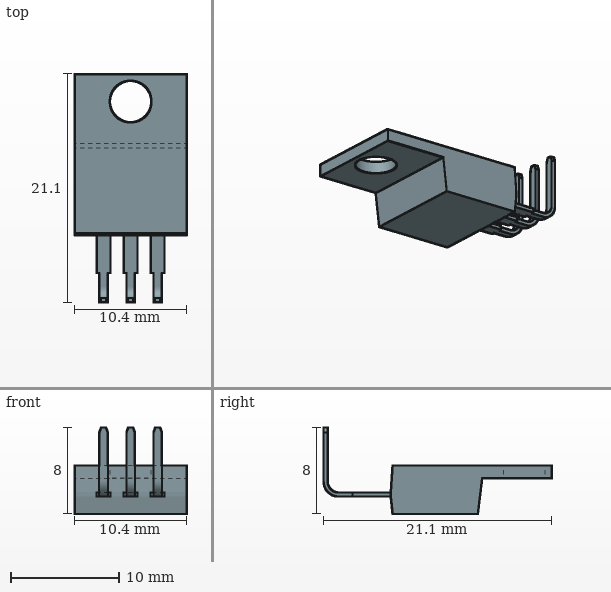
import cadquery as cq

width = 10.4
tab_thickness = 1.2
tab_back = 14.9
tab_insert_width = 7.5
tab_insert_front = 1.5
hole_diameter = 3.8
hole_from_back = 2.54

edge_break = 0.04

body_height = 4.5
body_back = 8.48
body_back_slope = 0.4
body_front_draft = 0.17

lead_pitch = 2.5
lead_thickness = 0.4
lead_top_depth = 2.5
lead_width = 0.8
lead_root_width = 1.3
lead_root_length = 3.5
lead_reach = 6.2
lead_tip_z = 3.5
bend_outer_radius = 1.4
bend_inner_radius = bend_outer_radius - lead_thickness
tip_height = 0.45
tip_side_cut = 0.17
lead_embedment = 1.0
lead_bottom_depth = lead_top_depth + lead_thickness


def make_tab():
    """Flat tab: full width behind the body, narrower where the body holds it."""
    exposed = (
        cq.Workplane("XY")
        .box(width, tab_back - body_back, tab_thickness, centered=(True, False, False))
        .translate((0, body_back, -tab_thickness))
        .edges("|Y")
        .chamfer(edge_break)
    )
    insert_length = body_back - tab_insert_front
    insert = (
        cq.Workplane("XY")
        .box(tab_insert_width, insert_length, tab_thickness, centered=(True, False, False))
        .translate((0, tab_insert_front, -tab_thickness))
    )
    hole_radius = hole_diameter / 2
    rim_radius = hole_radius + edge_break
    hole = (
        cq.Workplane("XZ")
        .polyline([
            (0, 0),
            (rim_radius, 0),
            (hole_radius, -edge_break),
            (hole_radius, edge_break - tab_thickness),
            (rim_radius, -tab_thickness),
            (0, -tab_thickness),
        ])
        .close()
        .revolve(360, (0, 0, 0), (0, 1, 0))
        .translate((0, tab_back - hole_from_back, 0))
    )
    return exposed.union(insert).cut(hole)


def make_body():
    """Moulded body: drafted front with a flat band at lead level, sloped lower back."""
    body = (
        cq.Workplane("YZ")
        .moveTo(body_front_draft, 0)
        .lineTo(0, -lead_top_depth)
        .lineTo(0, -lead_bottom_depth)
        .lineTo(body_front_draft, -body_height)
        .lineTo(body_back - body_back_slope, -body_height)
        .lineTo(body_back, -tab_thickness)
        .lineTo(body_back, 0)
        .close()
        .extrude(width / 2, both=True)
    )
    front_zone = cq.selectors.BoxSelector(
        (-width, -body_front_draft, -body_height), (width, body_front_draft, 0)
    )
    front_side_edges = body.edges(front_zone).edges("not |X")
    top_side_edges = body.faces(">Z").edges("|Y")
    top_front_edge = body.faces(">Z").edges("<Y")
    return front_side_edges.add(top_side_edges).add(top_front_edge).chamfer(edge_break)


def make_lead():
    """Lead on X = 0: wide root, upward bend and a tip tapered on both sides."""
    strip = (
        cq.Workplane("YZ")
        .moveTo(lead_embedment, -lead_bottom_depth)
        .lineTo(bend_outer_radius - lead_reach, -lead_bottom_depth)
        .radiusArc((-lead_reach, bend_outer_radius - lead_bottom_depth), bend_outer_radius)
        .lineTo(-lead_reach, lead_tip_z)
        .lineTo(lead_thickness - lead_reach, lead_tip_z)
        .lineTo(lead_thickness - lead_reach, bend_outer_radius - lead_bottom_depth)
        .radiusArc((bend_outer_radius - lead_reach, -lead_top_depth), -bend_inner_radius)
        .lineTo(lead_embedment, -lead_top_depth)
        .close()
        .extrude(lead_width / 2, both=True)
    )
    half_width = lead_width / 2
    tip_cut = (
        cq.Workplane("XZ")
        .moveTo(half_width, lead_tip_z)
        .lineTo(half_width, lead_tip_z - tip_height)
        .lineTo(half_width - tip_side_cut, lead_tip_z)
        .close()
        .extrude(lead_reach)
    )
    root_length = lead_root_length + lead_embedment
    root = (
        cq.Workplane("XY")
        .box(lead_root_width, root_length, lead_thickness, centered=(True, False, False))
        .translate((0, -lead_root_length, -lead_bottom_depth))
    )
    return strip.cut(tip_cut).cut(tip_cut.mirror("YZ")).union(root)


tab = make_tab()
result = make_body().cut(tab).union(tab, clean=False)

for position in (-1, 0, 1):
    lead = make_lead().translate((position * lead_pitch, 0, 0))
    result = result.union(lead, clean=False)